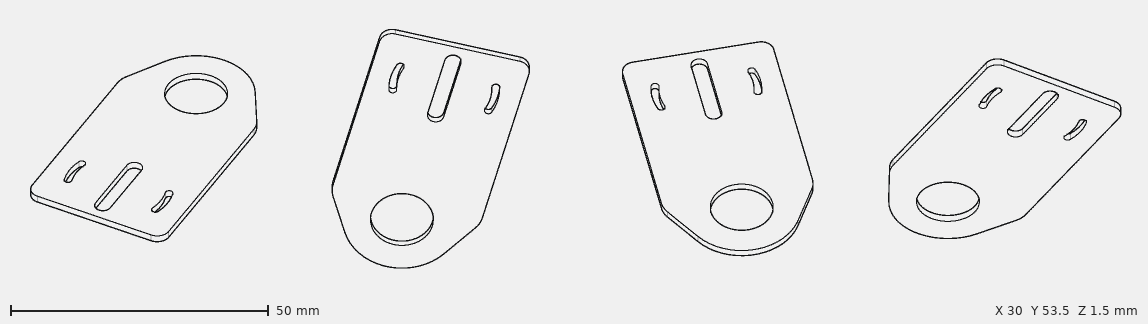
import cadquery as cq
import math

width = 30.0
length = 53.5
thickness = 1.5

head_radius = 11.5
hole_diameter = 12.2
shoulder_angle = math.radians(30)

shoulder_fillet = 5.0
base_fillet = 2.5

slot_center_to_base = 10.0
slot_width = 3.2
slot_length = 16.15
arc_slot_radius = 10.0
arc_slot_width = 1.5
arc_slot_half_angle = math.radians(16.4)

half_width = width / 2
base_y = head_radius - length
slot_y = base_y + slot_center_to_base


def fillet_corners(plate, corner_y, radius):
    """Round the two upright side edges at the given Y."""
    nearest = cq.selectors.NearestToPointSelector
    left = nearest((-half_width, corner_y, thickness / 2))
    right = nearest((half_width, corner_y, thickness / 2))
    return plate.edges("|Z").edges(left + right).fillet(radius)


def make_plate():
    tangent_x = head_radius * math.cos(shoulder_angle)
    tangent_y = head_radius * math.sin(shoulder_angle)
    shoulder_y = tangent_y - (half_width - tangent_x) / math.tan(shoulder_angle)
    plate = (
        cq.Workplane("XY")
        .moveTo(-half_width, base_y)
        .lineTo(half_width, base_y)
        .lineTo(half_width, shoulder_y)
        .lineTo(tangent_x, tangent_y)
        .threePointArc((0, head_radius), (-tangent_x, tangent_y))
        .lineTo(-half_width, shoulder_y)
        .close()
        .extrude(thickness)
    )

    plate = fillet_corners(plate, base_y, base_fillet)
    return fillet_corners(plate, shoulder_y, shoulder_fillet)


def make_hole():
    return cq.Workplane("XY").circle(hole_diameter / 2).extrude(thickness)


def make_straight_slot():
    return (
        cq.Workplane("XY")
        .center(0, slot_y)
        .slot2D(slot_length, slot_width, 90)
        .extrude(thickness)
    )


def make_arc_slot(side):
    """Round-ended arc slot; side is 1 for +X and -1 for -X."""
    inner = arc_slot_radius - arc_slot_width / 2
    outer = arc_slot_radius + arc_slot_width / 2

    def polar(radius, angle):
        return (side * radius * math.cos(angle), radius * math.sin(angle))

    def end_tip(direction):
        x, y = polar(arc_slot_radius, direction * arc_slot_half_angle)
        reach = arc_slot_width / 2
        return (
            x - side * reach * math.sin(arc_slot_half_angle),
            y + direction * reach * math.cos(arc_slot_half_angle),
        )

    return (
        cq.Workplane("XY")
        .center(0, slot_y)
        .moveTo(*polar(outer, -arc_slot_half_angle))
        .threePointArc(polar(outer, 0), polar(outer, arc_slot_half_angle))
        .threePointArc(end_tip(1), polar(inner, arc_slot_half_angle))
        .threePointArc(polar(inner, 0), polar(inner, -arc_slot_half_angle))
        .threePointArc(end_tip(-1), polar(outer, -arc_slot_half_angle))
        .close()
        .extrude(thickness)
    )


result = make_plate().cut(make_hole()).cut(make_straight_slot())
for side in (-1, 1):
    result = result.cut(make_arc_slot(side))